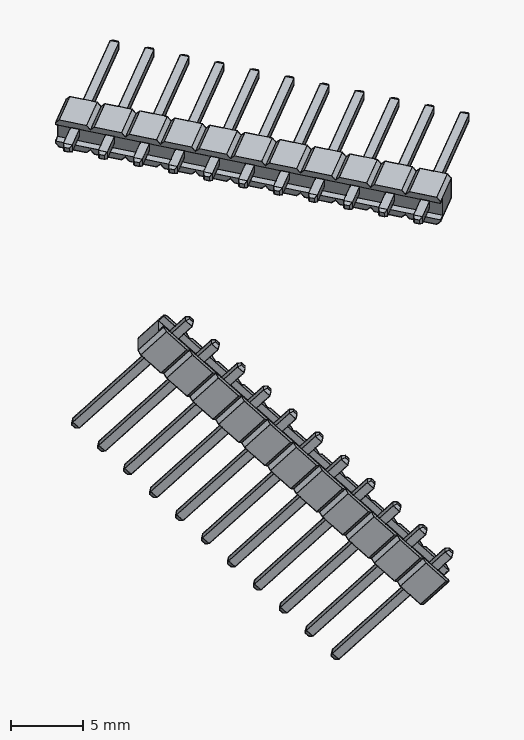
import cadquery as cq

PIN_COUNT = 11
BODY_LENGTH = 27.95
PITCH = BODY_LENGTH / PIN_COUNT
BODY_HEIGHT = 2.55
BODY_DEPTH = 2.55
NOTCH_HALF_WIDTH = 0.28
NOTCH_DEPTH = 0.34

LIP_THICKNESS = 0.5
CHANNEL_DEPTH = 0.5

PIN_WIDTH = 0.65
PIN_LENGTH = 11.6
PIN_FRONT_REACH = 1.45
TIP_LENGTH = 0.25
TIP_INSET = 0.15


def make_segment(center_x):
    """One pitch of the body: a block with all four long corners bevelled."""
    half_width = PITCH / 2
    half_height = BODY_HEIGHT / 2
    flat_x = half_width - NOTCH_HALF_WIDTH
    flat_z = half_height - NOTCH_DEPTH
    outline = [
        (-flat_x, -half_height),
        (flat_x, -half_height),
        (half_width, -flat_z),
        (half_width, flat_z),
        (flat_x, half_height),
        (-flat_x, half_height),
        (-half_width, flat_z),
        (-half_width, -flat_z),
    ]
    segment = cq.Workplane("XZ").polyline(outline).close().extrude(-BODY_DEPTH)
    return segment.translate((center_x, 0, 0))


def make_channel():
    """Cutter for the full-length channel between the two front lips."""
    return cq.Workplane("XY").box(
        BODY_LENGTH,
        CHANNEL_DEPTH,
        BODY_HEIGHT - 2 * LIP_THICKNESS,
        centered=(True, False, True),
    )


def make_tip(base_y, end_y):
    """Square frustum narrowing along Y from the pin's full width to its tip."""
    end_width = PIN_WIDTH - 2 * TIP_INSET
    return (
        cq.Workplane("XZ", origin=(0, base_y, 0))
        .rect(PIN_WIDTH, PIN_WIDTH)
        .workplane(offset=base_y - end_y)
        .rect(end_width, end_width)
        .loft(ruled=True)
    )


def make_pin(center_x):
    """Square pin with a tapered tip at each end."""
    front_y = -PIN_FRONT_REACH
    rear_y = front_y + PIN_LENGTH
    shank_front_y = front_y + TIP_LENGTH
    shank_rear_y = rear_y - TIP_LENGTH
    shank = (
        cq.Workplane("XY")
        .box(PIN_WIDTH, shank_rear_y - shank_front_y, PIN_WIDTH, centered=(True, False, True))
        .translate((0, shank_front_y, 0))
    )
    pin = shank.union(make_tip(shank_front_y, front_y)).union(make_tip(shank_rear_y, rear_y))
    return pin.translate((center_x, 0, 0))


pin_positions = [(i - (PIN_COUNT - 1) / 2) * PITCH for i in range(PIN_COUNT)]

body = make_segment(pin_positions[0])
for x in pin_positions[1:]:
    body = body.union(make_segment(x))

result = body.cut(make_channel())
for x in pin_positions:
    result = result.union(make_pin(x))